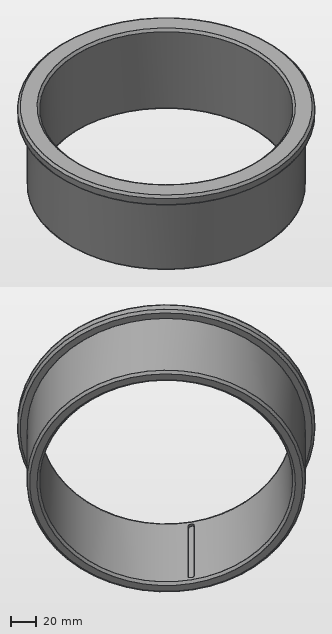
import cadquery as cq

flange_radius = 235 / 2
sleeve_radius = 220.0 / 2
bore_radius = 200.0 / 2
height = 80.0
flange_thickness = 10.0
chamfer = 2.0

groove_width = 5.0
groove_depth = 2.0
groove_end_margin = 5.0

flange_bottom = height - flange_thickness


def flanged_sleeve():
    """Revolve the chamfered half section about Z."""
    half_section = [
        (bore_radius + chamfer, 0),
        (sleeve_radius - chamfer, 0),
        (sleeve_radius, chamfer),
        (sleeve_radius, flange_bottom),
        (flange_radius - chamfer, flange_bottom),
        (flange_radius, flange_bottom + chamfer),
        (flange_radius, height - chamfer),
        (flange_radius - chamfer, height),
        (bore_radius + chamfer, height),
        (bore_radius, height - chamfer),
        (bore_radius, chamfer),
    ]
    return cq.Workplane("XZ").polyline(half_section).close().revolve(360, (0, 0, 0), (0, 1, 0))


def bore_groove_cutter():
    """Upright slot shape running from the axis to the groove floor."""
    groove_length = height - 2 * groove_end_margin
    return (
        cq.Workplane("YZ")
        .center(0, height / 2)
        .slot2D(groove_length, groove_width, 90)
        .extrude(bore_radius + groove_depth)
    )


result = flanged_sleeve().cut(bore_groove_cutter())